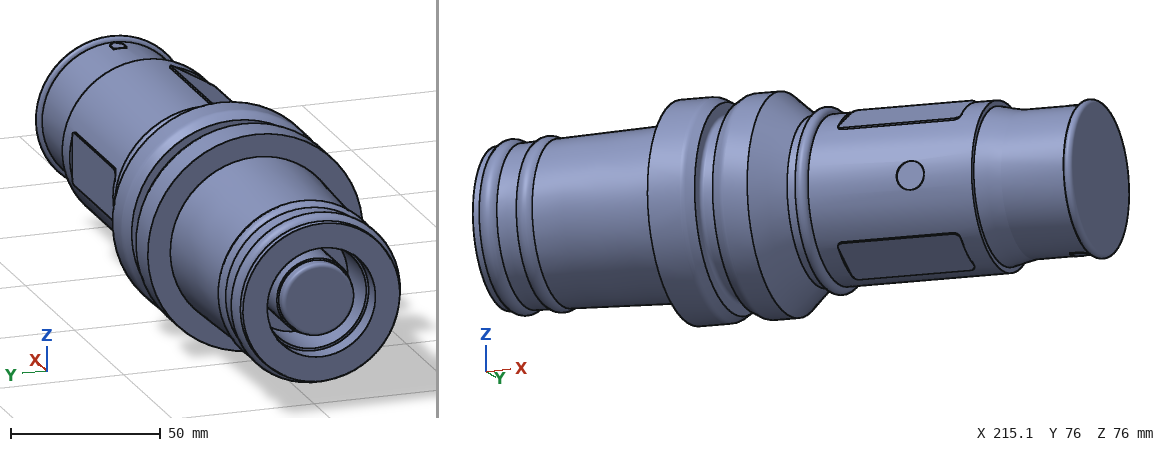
import cadquery as cq
import math

length = 215.1

nose_tip_radius = 27.8
nose_base_radius = 30.1
nose_length = 67.1
nose_ring_crest = 29.7
front_ring = (2.4, 8.8)
second_ring = (16.0, 21.7)

flange_radius = 38.0
edge_angle = math.radians(30)
edge_round = 3.9
edge_cone = 2.8
groove_start = 83.3
groove_end = 89.7
groove_radius = 31.0
groove_fillet = 1.3
flange_end = 103.0

shoulder_end = 113.8
body_radius = 29.0
body_ring = (117.0, 121.3)
body_ring_crest = 31.6
body_end = 180.3

tail_step_radius = 27.1
tail_cone_end = 189.3
tail_radius = 25.2
bead_start = 212.0
bead_crest = tail_radius + (length - bead_start) / 2

mouth_radius = 19.1
mouth_depth = 6.9
bore_radius = 18.3
bore_depth = 25.8
post_tip = 2.5
post_tip_radius = 12.7
post_fillet = 1.3
post_base_radius = 13.3
post_step = 6.9

pad_count = 3
pad_start = 128.7
pad_end = 172.8
pad_width = 18.5
pad_corner = 2.2
pad_height = 28.2
pad_root = 24.7

recess_x = 158.1
recess_radius = 5.0
recess_floor = 28.5

arrow_start = 204.8
arrow_neck = 208.7
arrow_tip = 211.5
arrow_half_width = 2.4
arrow_height = 25.4


def nose_radius(x):
    return nose_tip_radius + (nose_base_radius - nose_tip_radius) * x / nose_length


def middle(span):
    return (span[0] + span[1]) / 2


def make_body():
    """Revolved outer shape, from the nose at X = 0 to the bead at the far end."""
    round_length = edge_round * math.sin(edge_angle)
    round_drop = edge_round * (1 - math.cos(edge_angle))
    half_round_length = edge_round * math.sin(edge_angle / 2)
    half_round_drop = edge_round * (1 - math.cos(edge_angle / 2))
    cone_radius = flange_radius - round_drop
    rim_radius = cone_radius - edge_cone * math.tan(edge_angle)
    left_cone = groove_start - edge_cone
    left_round = left_cone - round_length
    right_cone = groove_end + edge_cone
    right_round = right_cone + round_length
    fillet_top = groove_radius + groove_fillet
    fillet_middle = groove_fillet * (1 - math.sqrt(0.5))

    outline = cq.Workplane("XZ").moveTo(0, 0).lineTo(0, nose_tip_radius)
    for ring in (front_ring, second_ring):
        outline = (
            outline.lineTo(ring[0], nose_radius(ring[0]))
            .threePointArc((middle(ring), nose_ring_crest), (ring[1], nose_radius(ring[1])))
        )
    outline = (
        outline.lineTo(nose_length, nose_base_radius)
        .lineTo(nose_length, flange_radius)
        .lineTo(left_round, flange_radius)
        .threePointArc(
            (left_round + half_round_length, flange_radius - half_round_drop),
            (left_cone, cone_radius),
        )
        .lineTo(groove_start, rim_radius)
        .lineTo(groove_start, fillet_top)
        .threePointArc(
            (groove_start + fillet_middle, groove_radius + fillet_middle),
            (groove_start + groove_fillet, groove_radius),
        )
        .lineTo(groove_end - groove_fillet, groove_radius)
        .threePointArc(
            (groove_end - fillet_middle, groove_radius + fillet_middle),
            (groove_end, fillet_top),
        )
        .lineTo(groove_end, rim_radius)
        .lineTo(right_cone, cone_radius)
        .threePointArc(
            (right_round - half_round_length, flange_radius - half_round_drop),
            (right_round, flange_radius),
        )
        .lineTo(flange_end, flange_radius)
        .lineTo(shoulder_end, body_radius)
        .lineTo(body_ring[0], body_radius)
        .threePointArc((middle(body_ring), body_ring_crest), (body_ring[1], body_radius))
        .lineTo(body_end, body_radius)
        .lineTo(body_end, tail_step_radius)
        .lineTo(tail_cone_end, tail_radius)
        .lineTo(bead_start, tail_radius)
        .threePointArc((middle((bead_start, length)), bead_crest), (length, tail_radius))
        .lineTo(length, 0)
        .close()
    )
    return outline.revolve(360, (0, 0, 0), (1, 0, 0))


def along_axis(start, end, radius):
    return cq.Workplane("YZ", origin=(start, 0, 0)).circle(radius).extrude(end - start)


def make_bore():
    """Ring-shaped space around the post, to be cut from the nose."""
    post = along_axis(post_tip, bore_depth, post_tip_radius).faces("<X").edges().fillet(post_fillet)
    post_base = along_axis(post_step, bore_depth, post_base_radius)
    mouth = along_axis(0, mouth_depth, mouth_radius)
    bore = along_axis(0, bore_depth, bore_radius)
    return mouth.union(bore).cut(post).cut(post_base)


def make_pad_block(bottom, top):
    """Rounded rectangular block between two heights above the axis, on the +Y side."""
    block = cq.Workplane("XY").box(
        pad_end - pad_start, top - bottom, pad_width, centered=(False, False, True)
    )
    return block.translate((pad_start, bottom, 0)).edges("|Y").fillet(pad_corner)


def make_recess():
    return (
        cq.Workplane("XZ", origin=(recess_x, -recess_floor, 0))
        .circle(recess_radius)
        .extrude(flange_radius - recess_floor)
    )


def make_arrow():
    """Arrow-shaped prism from the axis up to the flat face of the mark, pointing to +X."""
    return (
        cq.Workplane("XY")
        .moveTo(arrow_start, -arrow_half_width)
        .lineTo(arrow_neck, -arrow_half_width)
        .lineTo(arrow_tip, 0)
        .lineTo(arrow_neck, arrow_half_width)
        .lineTo(arrow_start, arrow_half_width)
        .close()
        .extrude(arrow_height)
    )


result = make_body().cut(make_bore())

for index in range(pad_count):
    angle = index * 360 / pad_count
    clearance = make_pad_block(pad_height, flange_radius).rotate((0, 0, 0), (1, 0, 0), angle)
    pad = make_pad_block(pad_root, pad_height).rotate((0, 0, 0), (1, 0, 0), angle)
    result = result.cut(clearance).union(pad)

result = result.cut(make_recess())

arrow = make_arrow()
for angle in (0, 180):
    result = result.union(arrow.rotate((0, 0, 0), (1, 0, 0), angle))